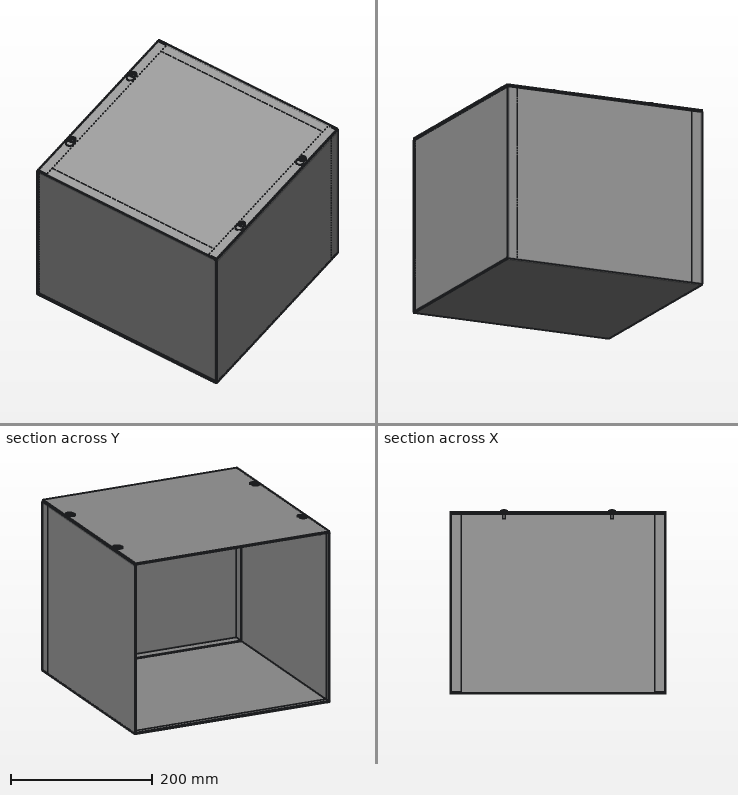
import cadquery as cq
import math

SHEET = 1.588
BOX_WIDTH = 304.8
BOX_DEPTH = 304.8
BOX_HEIGHT = 253.97
LIP = 15.9
BEND_RADIUS = 1.5 * SHEET
WRAPPER_WIDTH = BOX_WIDTH + 2 * SHEET
FLOOR_Z = SHEET
COVER_Z = FLOOR_Z + BOX_HEIGHT
COVER_TOP_Z = COVER_Z + SHEET

SCREW_X = 144.6
SCREW_Y = 76.2
HEAD_DIAMETER = 9.75
HEAD_HEIGHT = 2.59
HEAD_RIM = 1.05
SHANK_DIAMETER = 4.17
SHANK_LENGTH = 9.5
RECESS_WIDTH = 0.8
RECESS_LENGTH = 5.0
RECESS_DEPTH = 1.2
SCREW_PLACES = [(sx * SCREW_X, sy * SCREW_Y) for sx in (-1, 1) for sy in (-1, 1)]

KEYHOLE_DIAMETER = 11.0
KEYHOLE_SLOT_WIDTH = 7.14
KEYHOLE_OFFSET = 6.8


def block(width, depth, height, base_z):
    """A box centred in X and Y that stands on base_z."""
    return cq.Workplane("XY").workplane(offset=base_z).box(
        width, depth, height, centered=(True, True, False)
    )


def screw_holes():
    """Shank-sized cutters through the lips of the wrapper."""
    lip_underside = cq.Workplane("XY").workplane(offset=COVER_Z - SHEET)
    return lip_underside.pushPoints(SCREW_PLACES).circle(SHANK_DIAMETER / 2).extrude(SHEET)


def top_lips():
    """The two wrapper lips under the cover, which stop short of the end panels' bends."""
    length = BOX_DEPTH - 2 * BEND_RADIUS
    lips = block(BOX_WIDTH, length, SHEET, COVER_Z - SHEET)
    return lips.cut(block(WRAPPER_WIDTH - 2 * LIP, length, SHEET, COVER_Z - SHEET))


def make_wrapper():
    """Floor, two sides and two turned-in top lips, open at both Y ends."""
    shell = block(WRAPPER_WIDTH, BOX_DEPTH, COVER_Z, 0).edges("|Y").fillet(BEND_RADIUS)
    cavity = block(BOX_WIDTH, BOX_DEPTH, BOX_HEIGHT, FLOOR_Z).cut(top_lips())
    return shell.cut(cavity).cut(screw_holes())


def make_end_panel(side):
    """A pan with lips on all four edges, closing one Y end of the wrapper."""
    pan = block(BOX_WIDTH, LIP, BOX_HEIGHT, FLOOR_Z).faces("<Y").edges().fillet(BEND_RADIUS)
    hollow = block(BOX_WIDTH - 2 * SHEET, LIP, BOX_HEIGHT - 2 * SHEET, FLOOR_Z + SHEET)
    pan = pan.cut(hollow.translate((0, SHEET, 0)))
    pan = pan.translate((0, (LIP - BOX_DEPTH) / 2, 0)).cut(top_lips())
    return pan if side < 0 else pan.mirror("XZ")


def make_cover():
    """Flat lid with a keyhole at each screw."""
    cover = block(BOX_WIDTH, BOX_DEPTH, SHEET, COVER_Z)
    for x, y in SCREW_PLACES:
        entry = cq.Workplane("XY").workplane(offset=COVER_Z).center(x, y - KEYHOLE_OFFSET)
        cover = cover.cut(entry.circle(KEYHOLE_DIAMETER / 2).extrude(SHEET))
        slot = cq.Workplane("XY").workplane(offset=COVER_Z).center(x, y - KEYHOLE_OFFSET / 2)
        slot = slot.slot2D(KEYHOLE_OFFSET + KEYHOLE_SLOT_WIDTH, KEYHOLE_SLOT_WIDTH, 90).extrude(SHEET)
        cover = cover.cut(slot)
    return cover


def make_screw(x, y):
    """Domed screw with a cross recess, its head resting on the cover."""
    radius = HEAD_DIAMETER / 2
    dome = HEAD_HEIGHT - HEAD_RIM
    dome_radius = (radius ** 2 + dome ** 2) / (2 * dome)
    half_chord = radius / 2
    mid_z = HEAD_HEIGHT - dome_radius + math.sqrt(dome_radius ** 2 - half_chord ** 2)
    screw = (
        cq.Workplane("XZ")
        .moveTo(0, -SHANK_LENGTH)
        .lineTo(SHANK_DIAMETER / 2, -SHANK_LENGTH)
        .lineTo(SHANK_DIAMETER / 2, 0)
        .lineTo(radius, 0)
        .lineTo(radius, HEAD_RIM)
        .threePointArc((half_chord, mid_z), (0, HEAD_HEIGHT))
        .close()
        .revolve(360, (0, 0, 0), (0, 1, 0))
    )
    recess_floor = HEAD_HEIGHT - RECESS_DEPTH
    recess_arm = block(RECESS_LENGTH, RECESS_WIDTH, RECESS_DEPTH, recess_floor)
    for angle in (0, 90):
        screw = screw.cut(recess_arm.rotate((0, 0, 0), (0, 0, 1), angle))
    return screw.translate((x, y, COVER_TOP_Z))


wrapper = make_wrapper()
end_panels = [make_end_panel(side) for side in (-1, 1)]
cover = make_cover()
screws = [make_screw(x, y) for x, y in SCREW_PLACES]

result = cq.Compound.makeCompound(
    [wrapper.val(), cover.val()]
    + [panel.val() for panel in end_panels]
    + [screw.val() for screw in screws]
)